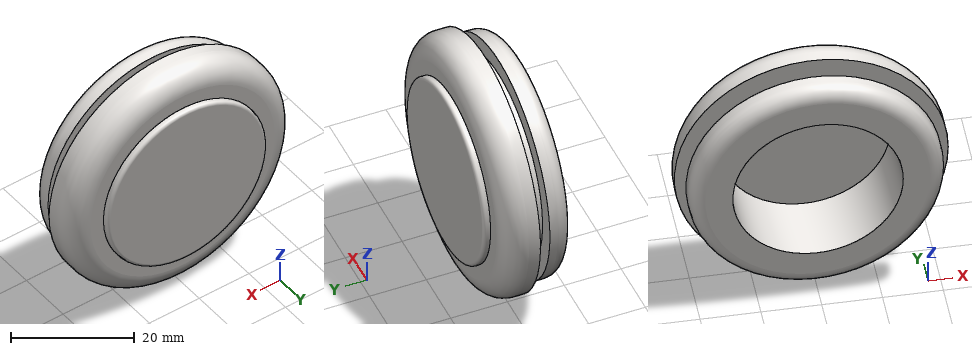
import cadquery as cq

rear_flange_radius = 22.5
front_flange_radius = 21.0
groove_radius = 18.0
pad_radius = 15.98
bore_radius = 14.0

front_flange_thickness = 4.0
groove_width = 2.3
rear_flange_thickness = 6.0
pad_thickness = 1.2
bore_depth = 12.0

front_flange_fillet = 2.5
rear_flange_fillet = 4.0
pad_fillet = 0.6

total_depth = front_flange_thickness + groove_width + rear_flange_thickness + pad_thickness
front_y = -total_depth / 2
groove_front_y = front_y + front_flange_thickness
groove_rear_y = groove_front_y + groove_width
pad_base_y = groove_rear_y + rear_flange_thickness


def disc(radius, start_y, length):
    """Solid disc on the Y axis, growing toward +Y from start_y."""
    plane = cq.Workplane("XZ", origin=(0, start_y, 0))
    return plane.circle(radius).extrude(-length)


front_flange = disc(front_flange_radius, front_y, front_flange_thickness)
front_flange = front_flange.faces("<Y").edges().fillet(front_flange_fillet)

groove_core = disc(groove_radius, groove_front_y, groove_width)

rear_flange = disc(rear_flange_radius, groove_rear_y, rear_flange_thickness)
rear_flange = rear_flange.faces(">Y").edges().fillet(rear_flange_fillet)

pad = disc(pad_radius, pad_base_y, pad_thickness)
pad = pad.faces(">Y").edges().fillet(pad_fillet)

bore = disc(bore_radius, front_y, bore_depth)

result = front_flange.union(groove_core).union(rear_flange).union(pad).cut(bore)